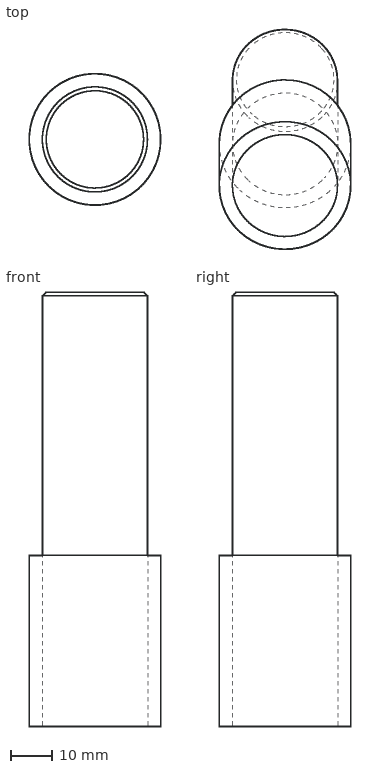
import cadquery as cq

total_length = 104.8
sleeve_diameter = 31.8
sleeve_length = 41.3
pin_diameter = 25.4
tip_chamfer = 0.9


def make_pin():
    """Full-length round pin with a chamfered top end."""
    return (
        cq.Workplane("XY")
        .circle(pin_diameter / 2)
        .extrude(total_length)
        .faces(">Z")
        .chamfer(tip_chamfer)
    )


def make_sleeve():
    """Plain sleeve fitted around the lower end of the pin."""
    return (
        cq.Workplane("XY")
        .circle(sleeve_diameter / 2)
        .circle(pin_diameter / 2)
        .extrude(sleeve_length)
    )


pin = make_pin()
sleeve = make_sleeve()
result = cq.Compound.makeCompound([pin.val(), sleeve.val()])